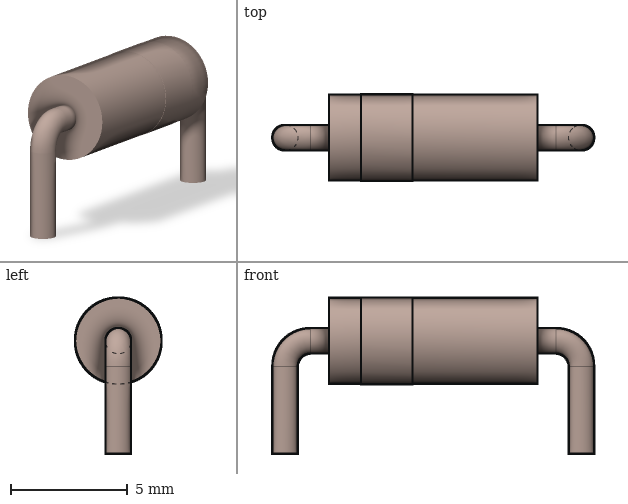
import cadquery as cq

overall_length = 13.8
overall_height = 6.7

body_length = 8.94
body_diameter = 3.7
band_diameter = 3.73
band_offset = 1.37
band_width = 2.21

lead_diameter = 1.1
bend_radius = 1.09

lead_x = (overall_length - lead_diameter) / 2
lead_bottom = band_diameter / 2 - overall_height


def cylinder_along_x(start, length, diameter):
    return cq.Workplane("YZ").workplane(offset=start).circle(diameter / 2).extrude(length)


def make_lead(side):
    """Wire from the body centre out to one end (side is -1 or 1), then bent down."""
    bend_start_x = side * (lead_x - bend_radius)
    path = (
        cq.Workplane("XZ")
        .lineTo(bend_start_x, 0)
        .tangentArcPoint((side * lead_x, -bend_radius), relative=False)
        .lineTo(side * lead_x, lead_bottom)
    )
    return cq.Workplane("YZ").circle(lead_diameter / 2).sweep(path)


body_start = -body_length / 2
result = cylinder_along_x(body_start, body_length, body_diameter)
result = result.union(cylinder_along_x(body_start + band_offset, band_width, band_diameter))

for side in (-1, 1):
    result = result.union(make_lead(side))